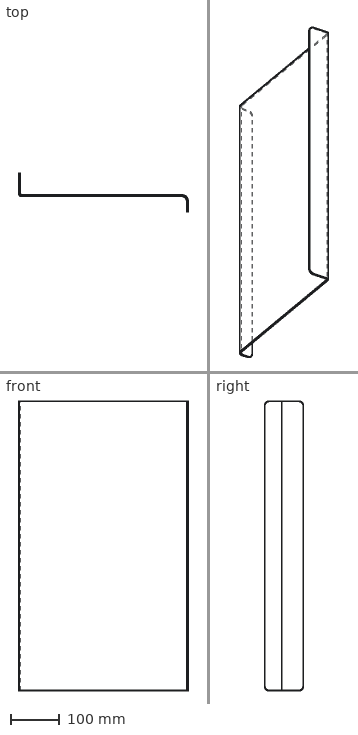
import cadquery as cq

WIDTH = 348.5
DEPTH = 80.0
HEIGHT = 596.0

THICKNESS = 3.0
REAR_FLANGE_DEPTH = 48.0
TIGHT_INNER_RADIUS = 3.0
WIDE_INNER_RADIUS = 10.0
CORNER_RADIUS = 10.0

TIGHT_OUTER_RADIUS = TIGHT_INNER_RADIUS + THICKNESS
WIDE_OUTER_RADIUS = WIDE_INNER_RADIUS + THICKNESS

LEFT = -WIDTH / 2
RIGHT = WIDTH / 2
WEB_FRONT = 0.0
WEB_REAR = WEB_FRONT + THICKNESS
REAR_TIP = WEB_FRONT + REAR_FLANGE_DEPTH
FRONT_TIP = REAR_TIP - DEPTH


def folded_sheet():
    """Z-shaped section, extruded upwards, with both bends still sharp."""
    section = [
        (LEFT, REAR_TIP),
        (LEFT, WEB_FRONT),
        (RIGHT - THICKNESS, WEB_FRONT),
        (RIGHT - THICKNESS, FRONT_TIP),
        (RIGHT, FRONT_TIP),
        (RIGHT, WEB_REAR),
        (LEFT + THICKNESS, WEB_REAR),
        (LEFT + THICKNESS, REAR_TIP),
    ]
    return cq.Workplane("XY").polyline(section).close().extrude(HEIGHT)


def round_edge(body, x, y, radius):
    """Round the vertical edge that passes through (x, y)."""
    edge = cq.NearestToPointSelector((x, y, HEIGHT / 2))
    return body.edges("|Z").edges(edge).fillet(radius)


def round_bends(body):
    """Give each bend concentric inner and outer radii."""
    body = round_edge(body, LEFT, WEB_FRONT, TIGHT_OUTER_RADIUS)
    body = round_edge(body, LEFT + THICKNESS, WEB_REAR, TIGHT_INNER_RADIUS)
    body = round_edge(body, RIGHT, WEB_REAR, WIDE_OUTER_RADIUS)
    return round_edge(body, RIGHT - THICKNESS, WEB_FRONT, WIDE_INNER_RADIUS)


def round_flange_corners(body):
    """Round the top and bottom corners at the free edge of each flange."""
    for tip_face in (">Y", "<Y"):
        body = body.faces(tip_face).edges("|X").fillet(CORNER_RADIUS)
    return body


result = round_flange_corners(round_bends(folded_sheet()))